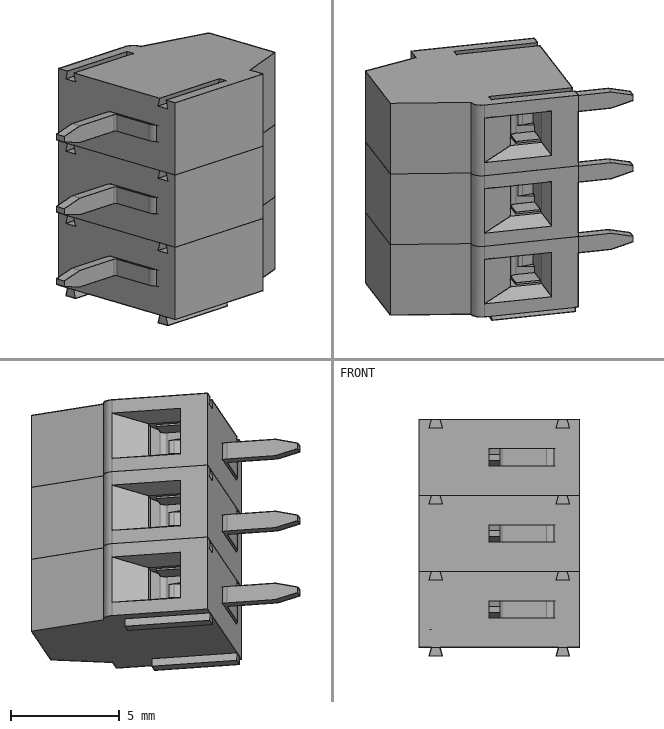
import cadquery as cq
import math


pole_count = 3
pole_pitch = 3.5

housing_depth = 7.4
housing_height = 8.6
crown_start = 1.4
crown_end = 5.6
shoulder_height = 5.0
shoulder_radius = 0.5
shelf_height = 5.9
shelf_start = 6.57

rail_inset = 0.775
rail_positions = (rail_inset, housing_depth - rail_inset)
rail_length = 4.0
rail_height = 0.4
rail_narrow_width = 0.4
rail_wide_width = 0.62

mouth_low = 1.27
mouth_high = shoulder_height - shoulder_radius
mouth_width = 2.2
throat_low, throat_high = 1.48, 2.98
throat_width = 1.57
funnel_depth = 0.95
throat_ramp_start = 1.39
throat_ramp_end = 1.97
throat_ramp_low = 2.66
seat_start = 1.15
seat_width = 1.39
seat_flat_high = 2.37

strip_thickness = 0.5
strip_width = 0.8
bend_inner_radius = 0.1
bend_outer_radius = bend_inner_radius + strip_thickness
shank_start = 3.23
shank_length = 3.55
shank_taper_length = 1.05
shank_tip_width = 0.27
foot_drop = 0.12
foot_bend_start = 5.87
leaf_lean = 23.0
leaf_length = 0.7
leaf_top = 2.28
leaf_taper_start = 1.4
leaf_tip_width = 0.62

ramp_lean = math.atan2(throat_ramp_end - throat_ramp_start, throat_high - throat_ramp_low)
seat_radius = (throat_ramp_low - seat_flat_high) / math.sin(ramp_lean)
seat_floor = throat_ramp_end + seat_radius * (1 - math.cos(ramp_lean))

shank_bend = (shank_start + bend_outer_radius, -foot_drop - bend_inner_radius)
foot_bend = (foot_bend_start, bend_outer_radius - foot_drop)
tip_bend = (seat_floor + bend_outer_radius, leaf_top)
arm_bend = (
    tip_bend[0] + leaf_length * math.sin(math.radians(leaf_lean)),
    tip_bend[1] - leaf_length * math.cos(math.radians(leaf_lean)),
)

arm_run = foot_bend[0] - arm_bend[0]
arm_rise = arm_bend[1] - foot_bend[1]
arm_bend_gap = bend_inner_radius + bend_outer_radius
arm_tangent_angle = math.asin(arm_bend_gap / math.hypot(arm_run, arm_rise))
arm_lean = 90 - math.degrees(math.atan2(arm_rise, arm_run) - arm_tangent_angle)


def on_circle(centre, radius, degrees):
    angle = math.radians(degrees)
    return (centre[0] + radius * math.cos(angle), centre[1] + radius * math.sin(angle))


def add_bend(outline, centre, radius, start, end):
    """Run the outline straight to the bend and around it, between two angles."""
    return outline.lineTo(*on_circle(centre, radius, start)).threePointArc(
        on_circle(centre, radius, (start + end) / 2),
        on_circle(centre, radius, end),
    )


def make_pin_width():
    """Pin width along its height: tapered shank tip, straight middle, tapered leaf."""
    half_widths = [
        (-shank_length, shank_tip_width / 2),
        (-shank_length + shank_taper_length, strip_width / 2),
        (leaf_taper_start, strip_width / 2),
        (leaf_top, leaf_tip_width / 2),
    ]
    mirrored = [(y, -half) for y, half in reversed(half_widths)]
    return cq.Workplane("YZ").polyline(half_widths + mirrored).close().extrude(housing_depth)


def make_pin():
    """Strip bent into shank, foot, folded-back arm and leaf, centred on Z = 0."""
    tilted = 180 + leaf_lean
    folded = 180 + arm_lean
    outline = cq.Workplane("XY").moveTo(shank_start, -shank_length)
    outline = add_bend(outline, shank_bend, bend_outer_radius, 180, 90)
    outline = add_bend(outline, foot_bend, bend_inner_radius, -90, arm_lean)
    outline = add_bend(outline, arm_bend, bend_outer_radius, folded, tilted)
    outline = add_bend(outline, tip_bend, bend_outer_radius, tilted, 180)
    outline = add_bend(outline, tip_bend, bend_inner_radius, 180, tilted)
    outline = add_bend(outline, arm_bend, bend_inner_radius, tilted, folded)
    outline = add_bend(outline, foot_bend, bend_outer_radius, arm_lean, -90)
    outline = add_bend(outline, shank_bend, bend_inner_radius, 90, 180)
    outline = outline.lineTo(shank_start + strip_thickness, -shank_length).close()
    strip = outline.extrude(strip_width / 2, both=True)
    return strip.intersect(make_pin_width())


def make_rail(middle, top):
    """Dovetail bar that widens downward from the given top."""
    half_narrow = rail_narrow_width / 2
    half_wide = rail_wide_width / 2
    return (
        cq.Workplane("XZ")
        .polyline([
            (middle - half_narrow, top),
            (middle + half_narrow, top),
            (middle + half_wide, top - rail_height),
            (middle - half_wide, top - rail_height),
        ])
        .close()
        .extrude(-rail_length)
    )


def make_wire_entry():
    """Funnel, ramped throat, seat and leaf window, centred on Z = 0."""
    throat_height = throat_high - throat_low
    throat_middle = (throat_high + throat_low) / 2
    funnel = (
        cq.Workplane("YZ")
        .center((mouth_low + mouth_high) / 2, 0)
        .rect(mouth_high - mouth_low, mouth_width)
        .workplane(offset=funnel_depth)
        .center(throat_middle - (mouth_low + mouth_high) / 2, 0)
        .rect(throat_height, throat_width)
        .loft(ruled=True)
    )
    throat = (
        cq.Workplane("XY")
        .moveTo(funnel_depth, throat_low)
        .lineTo(seat_start, throat_low)
        .lineTo(seat_start, throat_ramp_low)
        .lineTo(throat_ramp_end, throat_ramp_low)
        .lineTo(throat_ramp_start, throat_high)
        .lineTo(funnel_depth, throat_high)
        .close()
        .extrude(throat_width / 2, both=True)
    )
    seat_centre = (seat_floor - seat_radius, seat_flat_high)
    ramp_angle = math.degrees(ramp_lean)
    seat = (
        cq.Workplane("XY")
        .moveTo(seat_start, throat_low)
        .lineTo(seat_floor, throat_low)
        .lineTo(seat_floor, seat_flat_high)
        .threePointArc(
            on_circle(seat_centre, seat_radius, ramp_angle / 2),
            on_circle(seat_centre, seat_radius, ramp_angle),
        )
        .lineTo(seat_start, throat_ramp_low)
        .close()
        .extrude(seat_width / 2, both=True)
    )
    leaf_window = (
        cq.Workplane("XY")
        .moveTo(seat_floor, throat_low)
        .lineTo(seat_floor + strip_thickness, throat_low)
        .lineTo(seat_floor + strip_thickness, leaf_top)
        .lineTo(seat_floor, leaf_top)
        .close()
        .extrude(strip_width / 2, both=True)
        .intersect(make_pin_width())
    )
    return funnel.union(throat).union(seat).union(leaf_window)


def make_housing():
    """One pole of the block, centred on Z = 0, with wire entry, grooves and pin passage."""
    arc_centre = (shoulder_radius, shoulder_height - shoulder_radius)
    housing = (
        cq.Workplane("XY")
        .lineTo(housing_depth, 0)
        .lineTo(housing_depth, shelf_height)
        .lineTo(shelf_start, shelf_height)
        .lineTo(crown_end, housing_height)
        .lineTo(crown_start, housing_height)
        .lineTo(shoulder_radius, shoulder_height)
        .threePointArc(
            on_circle(arc_centre, shoulder_radius, 135),
            on_circle(arc_centre, shoulder_radius, 180),
        )
        .close()
        .extrude(pole_pitch / 2, both=True)
    )
    housing = housing.cut(make_wire_entry())
    for middle in rail_positions:
        housing = housing.cut(make_rail(middle, pole_pitch / 2))
    return housing.cut(make_pin())


pole_middles = [(pole + 0.5) * pole_pitch for pole in range(pole_count)]
housing_shape = make_housing()
pin_shape = make_pin()
housings = [housing_shape.translate((0, 0, middle)) for middle in pole_middles]
pins = [pin_shape.translate((0, 0, middle)) for middle in pole_middles]
tongues = [make_rail(middle, 0) for middle in rail_positions]

result = cq.Compound.makeCompound([
    *[housing.solids().val() for housing in housings],
    *[pin.solids().val() for pin in pins],
    *[tongue.val() for tongue in tongues],
])